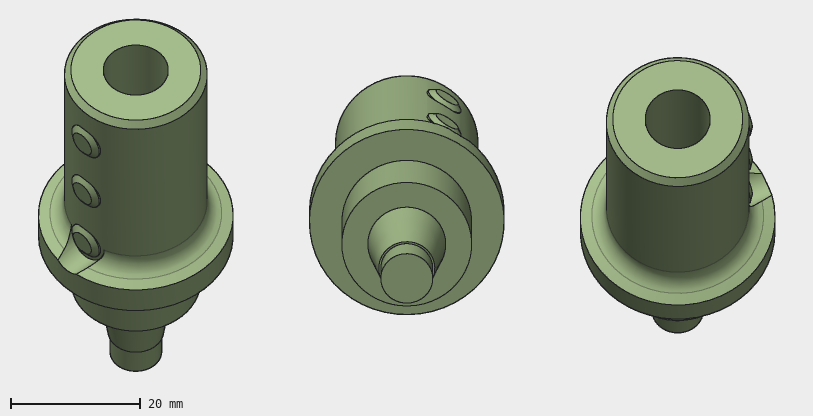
import cadquery as cq
import math

TIP_TOP = 5.0
TAPER_TOP = 17.0
SPIGOT_TOP = 28.0
FLANGE_TOP = 33.0
TOTAL_HEIGHT = 68.0

TIP_DIAMETER = 8.0
TAPER_TOP_DIAMETER = 12.0
SPIGOT_DIAMETER = 20.0
FLANGE_DIAMETER = 30.0
BODY_DIAMETER = 22.0

TAPER_ANGLE = math.radians(8.0)
FLANGE_SLOPE = math.radians(15.0)
ROOT_FILLET = 3.0
TOP_CHAMFER = 1.0

BORE_DIAMETER = 10.0
BORE_DEPTH = TOTAL_HEIGHT - FLANGE_TOP

SCREW_DIAMETER = 6.0
SCREW_TIP_DIAMETER = 4.0
SCREW_CHAMFER_LENGTH = 0.7
SCREW_PROTRUSION = 0.6
SCREW_COUNT = 3
SCREW_PITCH = 12.0
LOWEST_SCREW_Z = 36.0
RELIEF_DIAMETER = 7.2

BODY_RADIUS = BODY_DIAMETER / 2
FLANGE_RADIUS = FLANGE_DIAMETER / 2


def turned_base():
    """Revolve the tip, taper, spigot and flange, up to the top of the fillet at the body."""
    taper_bottom_radius = TAPER_TOP_DIAMETER / 2 - (TAPER_TOP - TIP_TOP) * math.tan(TAPER_ANGLE)

    fillet_center_r = BODY_RADIUS + ROOT_FILLET
    fillet_foot_r = fillet_center_r - ROOT_FILLET * math.sin(FLANGE_SLOPE)
    fillet_foot_z = FLANGE_TOP + (FLANGE_RADIUS - fillet_foot_r) * math.tan(FLANGE_SLOPE)
    fillet_center_z = fillet_foot_z + ROOT_FILLET * math.cos(FLANGE_SLOPE)
    middle_angle = (math.pi / 2 - FLANGE_SLOPE) / 2
    fillet_middle = (
        fillet_center_r - ROOT_FILLET * math.cos(middle_angle),
        fillet_center_z - ROOT_FILLET * math.sin(middle_angle),
    )

    profile = (
        cq.Workplane("XZ")
        .moveTo(0, 0)
        .lineTo(TIP_DIAMETER / 2, 0)
        .lineTo(TIP_DIAMETER / 2, TIP_TOP)
        .lineTo(taper_bottom_radius, TIP_TOP)
        .lineTo(TAPER_TOP_DIAMETER / 2, TAPER_TOP)
        .lineTo(SPIGOT_DIAMETER / 2, TAPER_TOP)
        .lineTo(SPIGOT_DIAMETER / 2, SPIGOT_TOP)
        .lineTo(FLANGE_RADIUS, SPIGOT_TOP)
        .lineTo(FLANGE_RADIUS, FLANGE_TOP)
        .lineTo(fillet_foot_r, fillet_foot_z)
        .threePointArc(fillet_middle, (BODY_RADIUS, fillet_center_z))
        .lineTo(0, fillet_center_z)
        .close()
    )
    return profile.revolve(360, (0, 0, 0), (0, 1, 0))


def screw_relief():
    """Round trough through the fillet and flange rim."""
    return (
        cq.Workplane("XZ", origin=(0, 0, LOWEST_SCREW_Z))
        .circle(RELIEF_DIAMETER / 2)
        .extrude(FLANGE_RADIUS)
    )


def body():
    """Chamfered cylinder rising from the flange; its wall is whole behind the trough."""
    return (
        cq.Workplane("XY", origin=(0, 0, SPIGOT_TOP))
        .circle(BODY_RADIUS)
        .extrude(TOTAL_HEIGHT - SPIGOT_TOP)
        .faces(">Z")
        .chamfer(TOP_CHAMFER)
    )


def set_screw(height):
    """Set screw with a chamfered end standing slightly proud of the body."""
    screw_end = BODY_RADIUS + SCREW_PROTRUSION
    shank_end = screw_end - SCREW_CHAMFER_LENGTH
    profile = (
        cq.Workplane("XY", origin=(0, 0, height))
        .lineTo(SCREW_DIAMETER / 2, 0)
        .lineTo(SCREW_DIAMETER / 2, -shank_end)
        .lineTo(SCREW_TIP_DIAMETER / 2, -screw_end)
        .lineTo(0, -screw_end)
        .close()
    )
    return profile.revolve(360, (0, 0, 0), (0, 1, 0))


def top_bore():
    """Blind bore entering from the top end."""
    return (
        cq.Workplane("XY", origin=(0, 0, TOTAL_HEIGHT - BORE_DEPTH))
        .circle(BORE_DIAMETER / 2)
        .extrude(BORE_DEPTH)
    )


result = turned_base().cut(screw_relief()).union(body())
for index in range(SCREW_COUNT):
    result = result.union(set_screw(LOWEST_SCREW_Z + index * SCREW_PITCH))
result = result.cut(top_bore())